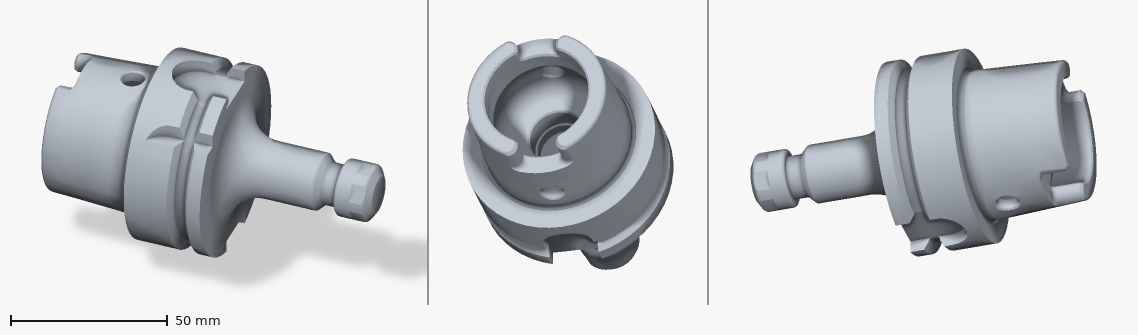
import cadquery as cq
import math


flange_radius = 31.5
flange_width = 26.0

groove_center_x = 18.0
groove_bottom_radius = 27.5
groove_corner_radius = 1.0
groove_slot_half = 1.85
groove_mouth_half = 3.43
groove_flank_angle = math.radians(30)
groove_v_depth = (groove_mouth_half - groove_slot_half) / math.tan(groove_flank_angle)

shank_length = 32.0
gauge_radius = 24.0
gauge_x = -6.3
taper_slope = 1 / 20
shank_rim_fillet = 1.25
taper_end_x = -1.95
relief_start_x = -1.3
relief_radius = 24.0
undercut_radius = 0.8
undercut_depth = 0.6

bore_radius = 17.0
bore_chamfer = 0.6
clamp_shoulder_x = -19.0
clamp_radius = 20.0
clamp_shoulder_angle = math.radians(30)
clamp_floor_x = -2.0
clamp_floor_fillet = 4.3
coolant_radius = 9.1
coolant_chamfer = 0.55
coolant_depth = 8.0
coolant_pilot_radius = 8.3
coolant_pilot_depth = 12.0

drive_half_width = 6.25
drive_floor_fillet = 1.7
drive_mouth_chamfer = 1.0
drive_flare_radius = 3.05
drive_flare_start_z = 17.6
drive_flare_half_width = 13.0
upper_drive_depth = 6.0
lower_drive_depth = 10.0

cross_hole_diameter = 7.5
cross_hole_chamfer = 0.5
cross_hole_x = -9.0

keyway_radius = 8.0
keyway_tip_x = 4.8
keyway_floor_z = 26.35
notch_wall_y = -20.0
notch_floor_z = 19.85
notch_center_x = 12.0

neck_radius = 9.5
neck_flare_radius = 12.3
neck_shoulder_x = 55.8
throat_radius = 7.0
neck_edge_fillet = 1.0

nut_start_x = 62.9
nut_end_x = 75.0
nut_radius = 9.5
nut_back_fillet = 1.2
nut_nose_x = 72.97
nut_nose_radius = 6.2
nut_nose_fillet = 1.5
nut_flat_count = 6
nut_flat_distance = 9.0
nut_flat_start_x = 68.3
nut_flat_runout = 0.7

overrun = 10.0

tolerance = 0.01


def taper_radius(x):
    return gauge_radius + (x - gauge_x) * taper_slope


def revolve_about_x(profile):
    return profile.close().revolve(360, (0, 0, 0), (1, 0, 0))


def at_circle(radius, x):
    """Selector for the circular edge of a turned solid at one radius and station."""
    return cq.selectors.BoxSelector(
        (x - tolerance, -radius - tolerance, -radius - tolerance),
        (x + tolerance, radius + tolerance, radius + tolerance),
        boundingbox=True,
    )


def make_turned_body():
    shank_end_x = -shank_length
    undercut_center_x = undercut_depth - undercut_radius
    undercut_outer_radius = relief_radius + undercut_radius
    diagonal = undercut_radius * math.sqrt(0.5)
    neck_slope_length = neck_radius - throat_radius
    profile = (
        cq.Workplane("XY")
        .moveTo(shank_end_x, 0)
        .lineTo(shank_end_x, taper_radius(shank_end_x))
        .lineTo(taper_end_x, taper_radius(taper_end_x))
        .lineTo(relief_start_x, relief_radius)
        .lineTo(undercut_center_x, relief_radius)
        .threePointArc(
            (undercut_center_x + diagonal, undercut_outer_radius - diagonal),
            (undercut_depth, undercut_outer_radius),
        )
        .lineTo(0, undercut_outer_radius + undercut_depth)
        .lineTo(0, flange_radius)
        .lineTo(flange_width, flange_radius)
        .lineTo(flange_width, neck_radius + neck_flare_radius)
        .radiusArc((flange_width + neck_flare_radius, neck_radius), -neck_flare_radius)
        .lineTo(neck_shoulder_x, neck_radius)
        .lineTo(neck_shoulder_x + neck_slope_length, throat_radius)
        .lineTo(nut_start_x, throat_radius)
        .lineTo(nut_start_x, 0)
    )
    body = revolve_about_x(profile)
    body = body.edges(at_circle(taper_radius(shank_end_x), shank_end_x)).fillet(shank_rim_fillet)
    body = body.edges(at_circle(neck_radius, neck_shoulder_x)).fillet(neck_edge_fillet)
    return body.edges(at_circle(throat_radius, neck_shoulder_x + neck_slope_length)).fillet(neck_edge_fillet)


def make_gripper_groove():
    left = groove_center_x - groove_slot_half
    right = groove_center_x + groove_slot_half
    slot_top_radius = flange_radius - groove_v_depth
    corner_top_radius = groove_bottom_radius + groove_corner_radius
    outer_radius = flange_radius + overrun
    profile = (
        cq.Workplane("XY")
        .moveTo(groove_center_x - groove_mouth_half, outer_radius)
        .lineTo(groove_center_x - groove_mouth_half, flange_radius)
        .lineTo(left, slot_top_radius)
        .lineTo(left, corner_top_radius)
        .radiusArc((left + groove_corner_radius, groove_bottom_radius), -groove_corner_radius)
        .lineTo(right - groove_corner_radius, groove_bottom_radius)
        .radiusArc((right, corner_top_radius), -groove_corner_radius)
        .lineTo(right, slot_top_radius)
        .lineTo(groove_center_x + groove_mouth_half, flange_radius)
        .lineTo(groove_center_x + groove_mouth_half, outer_radius)
    )
    return revolve_about_x(profile)


def make_bore():
    mouth_x = -shank_length
    shoulder_end_x = clamp_shoulder_x + (clamp_radius - bore_radius) * math.tan(clamp_shoulder_angle)
    coolant_mouth_radius = coolant_radius + coolant_chamfer
    coolant_end_x = clamp_floor_x + coolant_depth
    pilot_end_x = clamp_floor_x + coolant_pilot_depth
    profile = (
        cq.Workplane("XY")
        .moveTo(mouth_x, 0)
        .lineTo(mouth_x, bore_radius)
        .lineTo(clamp_shoulder_x, bore_radius)
        .lineTo(shoulder_end_x, clamp_radius)
        .lineTo(clamp_floor_x - clamp_floor_fillet, clamp_radius)
        .radiusArc((clamp_floor_x, clamp_radius - clamp_floor_fillet), clamp_floor_fillet)
        .lineTo(clamp_floor_x, coolant_mouth_radius)
        .lineTo(clamp_floor_x + coolant_chamfer, coolant_radius)
        .lineTo(coolant_end_x, coolant_radius)
        .lineTo(coolant_end_x, coolant_pilot_radius)
        .lineTo(pilot_end_x, coolant_pilot_radius)
        .lineTo(pilot_end_x, 0)
    )
    return revolve_about_x(profile)


def drive_slot_outline(x, growth):
    """Slot outline across the axis at station x, with its walls moved outward by growth."""
    half_width = drive_half_width + growth
    flare_radius = drive_flare_radius - growth
    flare_end_y = half_width + flare_radius
    flare_end_z = drive_flare_start_z + flare_radius
    top_z = gauge_radius + overrun
    return (
        cq.Workplane("YZ", origin=(x, 0, 0))
        .moveTo(-half_width, 0)
        .lineTo(-half_width, drive_flare_start_z)
        .radiusArc((-flare_end_y, flare_end_z), -flare_radius)
        .lineTo(-drive_flare_half_width, flare_end_z)
        .lineTo(-drive_flare_half_width, top_z)
        .lineTo(drive_flare_half_width, top_z)
        .lineTo(drive_flare_half_width, flare_end_z)
        .lineTo(flare_end_y, flare_end_z)
        .radiusArc((half_width, drive_flare_start_z), -flare_radius)
        .lineTo(half_width, 0)
        .close()
    )


def make_drive_slot(depth):
    """Cutter for a drive slot on the +Z side, with its chamfered mouth."""
    mouth_x = -shank_length
    slot = drive_slot_outline(mouth_x, 0).extrude(depth).faces(">X").edges().fillet(drive_floor_fillet)
    wide_outline = drive_slot_outline(mouth_x, drive_mouth_chamfer).wires().val()
    narrow_outline = drive_slot_outline(mouth_x + drive_mouth_chamfer, 0).wires().val()
    mouth = cq.Solid.makeLoft([wide_outline, narrow_outline], True)
    return slot.union(cq.Workplane(mouth))


def chamfer_bore_mouth(body):
    """Chamfer the bore edge along the end face and down into both drive slots."""
    def on_bore(edge):
        start = edge.startPoint()
        middle = edge.positionAt(0.5)
        return all(
            point.x < clamp_shoulder_x - tolerance
            and abs(math.hypot(point.y, point.z) - bore_radius) < tolerance
            for point in (start, middle, edge.endPoint())
        )

    crown = [edge for edge in body.edges().vals() if on_bore(edge)]
    return body.newObject(crown).chamfer(bore_chamfer)


def cut_cross_holes(body):
    """Drill straight through both shank walls and chamfer the two outer rims."""
    hole_radius = cross_hole_diameter / 2
    drill = (
        cq.Workplane("XY", origin=(cross_hole_x, 0, 0)).circle(hole_radius).extrude(flange_radius, both=True)
    )
    body = body.cut(drill)
    reach = hole_radius + tolerance
    wall_middle_z = (clamp_radius + gauge_radius) / 2
    for side in (-1, 1):
        rim_zone = cq.selectors.BoxSelector(
            (cross_hole_x - reach, -reach, side * wall_middle_z),
            (cross_hole_x + reach, reach, side * flange_radius),
            boundingbox=True,
        )
        body = body.edges(rim_zone).chamfer(cross_hole_chamfer)
    return body


def make_round_ended_slot(center_x, center_y, floor_z):
    """Cutter for a vertical milled slot that runs from its round end out through +X."""
    height = flange_radius + overrun - floor_z
    length = flange_width - center_x
    round_end = (
        cq.Workplane("XY", origin=(center_x, center_y, floor_z)).circle(keyway_radius).extrude(height)
    )
    straight = cq.Workplane("XY", origin=(center_x, center_y, floor_z)).box(
        length, 2 * keyway_radius, height, centered=(False, True, False)
    )
    return round_end.union(straight)


def turned_to_underside(cutter):
    return cutter.rotate((0, 0, 0), (1, 0, 0), 180)


def make_holder():
    body = make_turned_body().cut(make_gripper_groove()).cut(make_bore())
    body = cut_cross_holes(body)
    body = body.cut(make_drive_slot(upper_drive_depth))
    body = body.cut(turned_to_underside(make_drive_slot(lower_drive_depth)))
    body = chamfer_bore_mouth(body)
    keyway = make_round_ended_slot(keyway_tip_x + keyway_radius, 0, keyway_floor_z)
    notch = make_round_ended_slot(notch_center_x, notch_wall_y - keyway_radius, notch_floor_z)
    return body.cut(keyway).cut(turned_to_underside(keyway)).cut(notch)


def make_flat_cutter():
    """Cutter for the uppermost wrench flat, which runs out backward along a cone."""
    cone_end_x = nut_flat_start_x + nut_flat_runout
    runout_slope = (nut_radius - nut_flat_distance) / nut_flat_runout
    cone_start_x = nut_start_x + nut_back_fillet
    cone_start_radius = nut_radius + (nut_flat_start_x - cone_start_x) * runout_slope
    block = cq.Workplane("XY", origin=(cone_start_x, 0, nut_flat_distance)).box(
        nut_end_x - cone_start_x, 2 * nut_radius, overrun, centered=(False, True, False)
    )
    cone = revolve_about_x(
        cq.Workplane("XY")
        .moveTo(cone_start_x, 0)
        .lineTo(cone_start_x, cone_start_radius)
        .lineTo(cone_end_x, nut_flat_distance)
        .lineTo(cone_end_x, 0)
    )
    return block.cut(cone)


def make_nut():
    profile = (
        cq.Workplane("XY")
        .moveTo(nut_start_x, 0)
        .lineTo(nut_start_x, nut_radius)
        .lineTo(nut_nose_x, nut_radius)
        .lineTo(nut_end_x, nut_nose_radius)
        .lineTo(nut_end_x, 0)
    )
    nut = revolve_about_x(profile)
    nut = nut.edges(at_circle(nut_radius, nut_start_x)).fillet(nut_back_fillet)
    nut = nut.edges(at_circle(nut_radius, nut_nose_x)).fillet(nut_nose_fillet)
    flat_cutter = make_flat_cutter()
    for index in range(nut_flat_count):
        nut = nut.cut(flat_cutter.rotate((0, 0, 0), (1, 0, 0), index * 360 / nut_flat_count))
    return nut


holder = make_holder()
nut = make_nut()
result = cq.Compound.makeCompound([holder.val(), nut.val()])